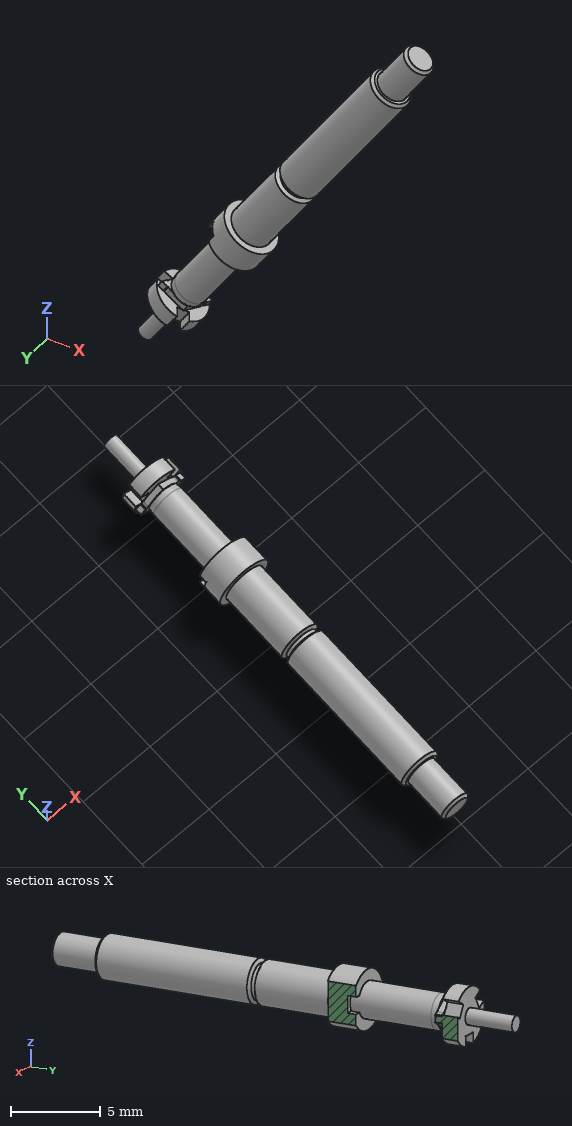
import cadquery as cq

total_length = 29.3

plunger_diameter = 2.0
body_diameter = 2.7
groove_diameter = 2.2
barrel_diameter = 2.2
neck_diameter = 2.1
collar_diameter = 3.6
head_diameter = 3.5
pin_diameter = 1.0

plunger_length = 3.0
pin_length = 3.0
head_thickness = 1.03
wing_thickness = 0.45
neck_length = 0.4
collar_length = 1.82

collar_front = 18.0
collar_back = collar_front + collar_length
head_back = total_length - pin_length
head_front = head_back - head_thickness
wing_front = head_front - wing_thickness
neck_front = wing_front - neck_length

groove_front = 12.8
groove_width = 0.5
groove_flat = 0.23

tip_chamfer = 0.18
body_chamfer = 0.18

collar_slot_width = 1.0
collar_slot_depth = 0.53

notch_count = 3
notch_width = 0.82
notch_floor = 1.05

wing_half_width = 1.67
wing_half_height = 1.1
wing_step_inner = 1.1
wing_step_outer = 1.32


def cylinder_along_y(diameter, y_start, y_end):
    return cq.Workplane("XZ", origin=(0, y_start, 0)).circle(diameter / 2).extrude(y_start - y_end)


def block_between(x_start, x_end, y_start, y_end, height):
    """Box centred on Z = 0."""
    centre = ((x_start + x_end) / 2, (y_start + y_end) / 2, 0)
    return cq.Workplane("XY").box(x_end - x_start, y_end - y_start, height).translate(centre)


def make_core():
    """Plunger, body with groove, barrel, neck and solder pin, turned about Y."""
    plunger_radius = plunger_diameter / 2
    body_radius = body_diameter / 2
    groove_radius = groove_diameter / 2
    barrel_radius = barrel_diameter / 2
    neck_radius = neck_diameter / 2
    pin_radius = pin_diameter / 2
    groove_taper = (groove_width - groove_flat) / 2
    groove_back = groove_front + groove_width
    profile = [
        (0, 0),
        (plunger_radius - tip_chamfer, 0),
        (plunger_radius, tip_chamfer),
        (plunger_radius, plunger_length),
        (body_radius - body_chamfer, plunger_length),
        (body_radius, plunger_length + body_chamfer),
        (body_radius, groove_front),
        (groove_radius, groove_front + groove_taper),
        (groove_radius, groove_back - groove_taper),
        (body_radius, groove_back),
        (body_radius, collar_front),
        (barrel_radius, collar_front),
        (barrel_radius, neck_front),
        (neck_radius, wing_front),
        (pin_radius, wing_front),
        (pin_radius, total_length),
        (0, total_length),
    ]
    return cq.Workplane("XY").polyline(profile).close().revolve(360, (0, 0, 0), (0, 1, 0))


def make_collar():
    """Ring round the barrel with a cross slot in its +Y end."""
    ring = cylinder_along_y(collar_diameter, collar_front, collar_back)
    slot = block_between(
        -collar_diameter / 2,
        collar_diameter / 2,
        collar_back - collar_slot_depth,
        collar_back,
        collar_slot_width,
    )
    return ring.cut(slot)


def make_head():
    """Disk with evenly spaced flat-bottomed notches in its rim."""
    head = cylinder_along_y(head_diameter, head_front, head_back)
    notch = block_between(notch_floor, head_diameter, head_front, head_back, notch_width)
    for index in range(notch_count):
        angle = 90 + index * 360 / notch_count
        head = head.cut(notch.rotate((0, 0, 0), (0, 1, 0), angle))
    return head


def make_wings():
    """Rhombic plate under the head, each slope stepped near its side tips."""
    slope = wing_half_height / wing_half_width
    step_start_z = (wing_half_width - wing_step_inner) * slope
    step_end_z = (wing_half_width - wing_step_outer) * slope
    step_drop = step_start_z - step_end_z
    quarter = [
        (wing_half_width, 0),
        (wing_step_outer, step_end_z),
        (wing_step_inner + step_drop, step_end_z),
        (wing_step_inner, step_start_z),
        (0, wing_half_height),
    ]
    half = quarter + [(-x, z) for x, z in reversed(quarter[:-1])]
    lower_half = [(x, -z) for x, z in reversed(half[1:-1])]
    return (
        cq.Workplane("XZ", origin=(0, head_front, 0))
        .polyline(half + lower_half)
        .close()
        .extrude(wing_thickness)
    )


result = make_core().union(make_collar()).union(make_head()).union(make_wings())